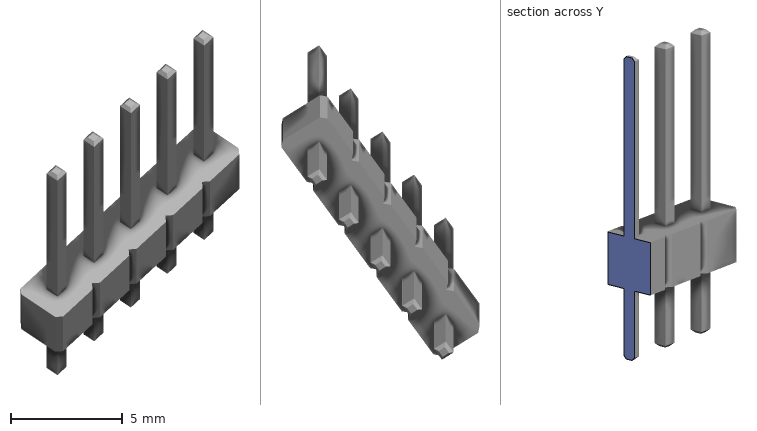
import cadquery as cq

pin_count = 5
pitch = 2.54
housing_width = 2.5
housing_height = 2.5
corner_chamfer = 0.25

pin_width = 0.64
pin_tip_chamfer = 0.15
pin_length_above = 8.5
pin_length_below = 3.3

pin_length = pin_length_below + housing_height + pin_length_above
first_pin_y = -pitch * (pin_count - 1) / 2


def housing_cell(y):
    """One housing cell on Z = 0 with its four upright corners chamfered."""
    cell = cq.Workplane("XY").box(housing_width, pitch, housing_height, centered=(True, True, False))
    return cell.edges("|Z").chamfer(corner_chamfer).translate((0, y, 0))


def pin(y):
    """One square pin running through the housing, tapered at both ends."""
    bar = cq.Workplane("XY").box(pin_width, pin_width, pin_length, centered=(True, True, False))
    bar = bar.faces("<Z or >Z").chamfer(pin_tip_chamfer)
    return bar.translate((0, y, -pin_length_below))


pin_positions = [first_pin_y + index * pitch for index in range(pin_count)]

result = housing_cell(pin_positions[0])
for position in pin_positions[1:]:
    result = result.union(housing_cell(position))
for position in pin_positions:
    result = result.union(pin(position))